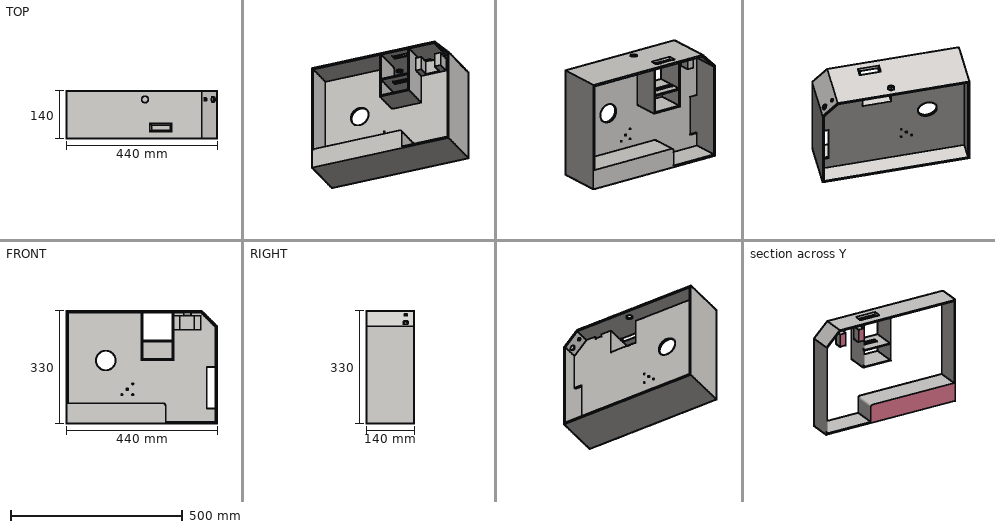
import cadquery as cq
import math

width = 440.0
depth = 140.0
height = 330.0
side_wall = 5.0
level_wall = 5.5
corner_cut = 45.5
ceiling = height - level_wall

panel_front = 84.0
panel_thickness = 6.0
panel_back = panel_front + panel_thickness
bay_middle = 115.0

port_x, port_z, port_diameter = 115.0, 185.0, 56.8
mount_x, mount_z, mount_diameter = 177.8, 100.8, 5.5
screw_offset = 16.0
screw_diameter = 3.0
screw_corners = [(-1, -1), (1, -1), (1, 1)]

slot_left, slot_bottom, slot_top = 410.5, 45.0, 165.5

block_right, block_top, block_radius = 289.5, 60.5, 8.0

box_left, box_right, box_bottom = 219.0, 313.5, 186.0
box_wall = 4.5
shelf_top = 244.5
inner_left = box_left + box_wall
inner_right = box_right - box_wall
inner_bottom = box_bottom + box_wall
shelf_bottom = shelf_top - box_wall

feed_left, feed_right, feed_front, feed_back = 248.5, 303.0, 25.0, 40.0
mouth_flare = 5.0

holder_right, holder_bottom, holder_top = 393.0, 274.0, 315.5
holder_front = 45.8
gap_left, gap_right = 331.0, 373.5
web_thickness = panel_thickness

window_left, window_right, window_bottom = 342.8, 363.5, 317.0

top_hole_x, top_hole_diameter = 229.2, 19.5
corner_holes = [(16.5, 9.2), (48.5, 15.5)]


def box(x0, x1, y0, y1, z0, z1):
    """Box between the given limits."""
    return cq.Workplane("XY").box(x1 - x0, y1 - y0, z1 - z0, centered=False).translate((x0, y0, z0))


def prism(points, y0, y1):
    """Outline in XZ, extruded along +Y from y0 to y1."""
    return cq.Workplane("XZ", origin=(0, y0, 0)).polyline(points).close().extrude(y0 - y1)


def panel_hole(x, z, diameter):
    """Cylinder through the panel."""
    return cq.Workplane("XZ", origin=(x, panel_front, z)).circle(diameter / 2).extrude(-panel_thickness)


outer_outline = [
    (0, 0),
    (width, 0),
    (width, height - corner_cut),
    (width - corner_cut, height),
    (0, height),
]
inner_slope_sum = width + height - corner_cut - side_wall * math.sqrt(2)
inner_side = width - side_wall
inner_outline = [
    (side_wall, level_wall),
    (inner_side, level_wall),
    (inner_side, inner_slope_sum - inner_side),
    (inner_slope_sum - ceiling, ceiling),
    (side_wall, ceiling),
]
body = prism(outer_outline, 0, depth)
body = body.cut(prism(inner_outline, 0, panel_front))
body = body.cut(prism(inner_outline, panel_back, depth))

block = box(0, block_right, 0, panel_front, 0, block_top)
block = block.edges("|Y and >X and >Z").fillet(block_radius)
body = body.union(block)

body = body.union(box(box_left, box_right, 0, panel_front, box_bottom, height))
body = body.cut(box(inner_left, inner_right, 0, panel_back, shelf_top, ceiling))
body = body.cut(box(inner_left, inner_right, 0, panel_front, inner_bottom, shelf_bottom))

feed_width = feed_right - feed_left
feed_depth = feed_back - feed_front
mouth = (
    cq.Workplane("XY", origin=((feed_left + feed_right) / 2, (feed_front + feed_back) / 2, ceiling))
    .rect(feed_width, feed_depth)
    .workplane(offset=level_wall)
    .rect(feed_width + 2 * mouth_flare, feed_depth + 2 * mouth_flare)
    .loft(ruled=True)
)
body = body.cut(mouth)
body = body.cut(box(feed_left, feed_right, feed_front, feed_back, shelf_bottom, shelf_top))

body = body.union(box(box_right, holder_right, holder_front, panel_front, holder_bottom, holder_top))
web_front = panel_front - web_thickness
body = body.cut(box(gap_left, gap_right, holder_front, web_front, holder_bottom, holder_top))

body = body.cut(box(window_left, window_right, panel_front, panel_back, window_bottom, ceiling))
body = body.cut(box(slot_left, inner_side, panel_front, panel_back, slot_bottom, slot_top))
body = body.cut(panel_hole(port_x, port_z, port_diameter))
body = body.cut(panel_hole(mount_x, mount_z, mount_diameter))
for side_x, side_z in screw_corners:
    screw_x = mount_x + side_x * screw_offset
    screw_z = mount_z + side_z * screw_offset
    body = body.cut(panel_hole(screw_x, screw_z, screw_diameter))

top_hole = cq.Workplane("XY", origin=(top_hole_x, bay_middle, ceiling))
body = body.cut(top_hole.circle(top_hole_diameter / 2).extrude(level_wall))

cutter_reach = 2 * side_wall
for along, diameter in corner_holes:
    drop = along / math.sqrt(2)
    start = (width - corner_cut + drop, bay_middle, height - drop)
    slope = cq.Workplane(cq.Plane(origin=start, xDir=(0, 1, 0), normal=(1, 0, 1)))
    body = body.cut(slope.circle(diameter / 2).extrude(cutter_reach, both=True))

result = body